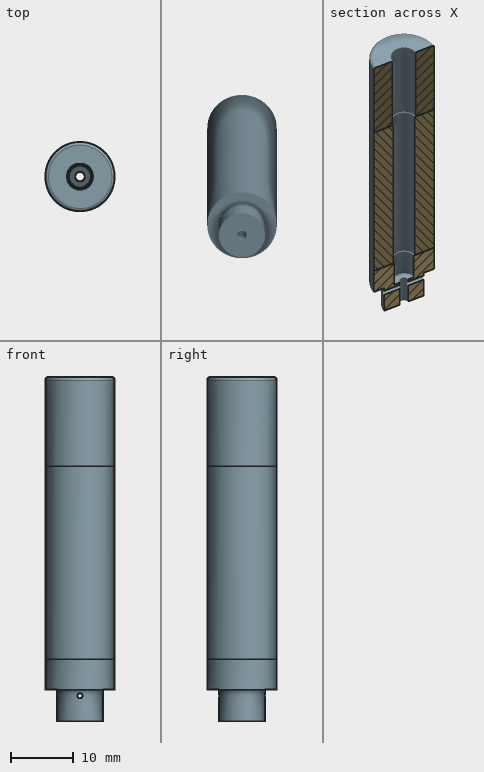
import cadquery as cq

total_length = 54.85
body_diameter = 11.1
spigot_diameter = 7.35
top_fillet = 0.5

spigot_length = 5.05
base_collar_length = 4.8
tube_length = 30.7

cap_bore = 4.15
tube_bore = 3.85
collar_bore = 3.5
spigot_bore = 1.5

cross_hole_diameter = 0.75
cross_hole_below_collar = 1.0

bottom_z = -total_length / 2
collar_z = bottom_z + spigot_length
tube_z = collar_z + base_collar_length
cap_z = tube_z + tube_length
cap_length = total_length / 2 - cap_z


def cylinder(diameter, start_z, length):
    """Solid cylinder on the Z axis, rising from start_z."""
    return cq.Workplane("XY").workplane(offset=start_z).circle(diameter / 2).extrude(length)


def ring(diameter, bore, start_z, length):
    """Cylinder with a concentric through bore."""
    return cylinder(diameter, start_z, length).cut(cylinder(bore, start_z, length))


def make_base():
    """Bored collar on a narrower spigot, which has a finer bore and a cross hole."""
    collar = ring(body_diameter, collar_bore, collar_z, base_collar_length)
    spigot = ring(spigot_diameter, spigot_bore, bottom_z, spigot_length)
    cross_hole = (
        cq.Workplane("XZ")
        .center(0, collar_z - cross_hole_below_collar)
        .circle(cross_hole_diameter / 2)
        .extrude(spigot_diameter / 2, both=True)
    )
    return collar.union(spigot).cut(cross_hole)


def make_tube():
    """Long middle tube, bored narrower than the cap so that a ledge shows inside the cap."""
    return ring(body_diameter, tube_bore, tube_z, tube_length)


def make_cap():
    """Bored top piece with a rounded outer top edge."""
    blank = cylinder(body_diameter, cap_z, cap_length).faces(">Z").edges().fillet(top_fillet)
    return blank.cut(cylinder(cap_bore, cap_z, cap_length))


base = make_base()
tube = make_tube()
cap = make_cap()

result = cq.Compound.makeCompound([base.val(), tube.val(), cap.val()])